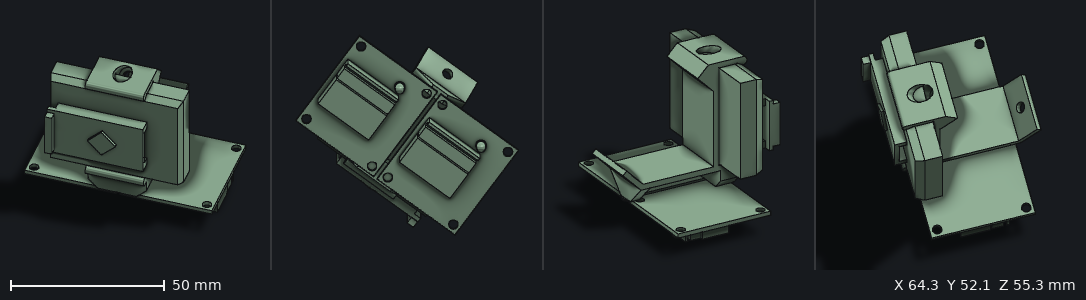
import cadquery as cq
import math


bracket_width = 20.0
sheet = 2.0
bracket_height = 39.0
cos_45 = math.sqrt(0.5)

bulb_radius = 1.5
bulb_center_y = -11.1
lip_start_y = -9.1

wedge_tip_y = 6.0
wedge_top_y = 2.0
wedge_tip_z = bracket_height - (wedge_tip_y - wedge_top_y)
wedge_foot_z = wedge_tip_z - wedge_tip_y

tail_length = 9.6
miter = sheet * math.tan(math.radians(22.5))

screw_diameter = 3.5
head_bore_diameter = 6.0
seat_thickness = 2.0

board_size_x = 31.5
board_size_y = 35.0
board_thickness = 1.5
board_gap = 1.35
board_hole_diameter = 3.0
board_hole_inset = 2.5
board_front_y = -8.6
board_rear_y = board_front_y + board_size_y

connector_size_x = 20.4
connector_size_y = 10.0
connector_height = 7.8
connector_inset_x = 1.5
connector_front_y = 1.65

socket_size_y = 6.0
socket_height = 7.2
socket_front_y = 12.05
slot_width = 1.05
slot_depth = 3.25
slot_inset = 0.95

lamp_diameter = 3.0
lamp_rim_diameter = 3.5
lamp_rim_height = 1.0
lamp_straight_height = 4.0
lamp_inset_x = 10.95
lamp_y = 20.6

foot_height = 7.0
foot_reach = 3.5
front_foot_y = board_front_y + board_hole_inset
rear_foot_y = board_rear_y - board_hole_inset
front_foot_chamfer = 3.25
tail_root_y = rear_foot_y + foot_reach

module_size_x = 45.6
module_size_z = 34.45
module_depth = 9.0
module_taper_depth = 3.0
module_taper_inset = 1.0
module_center_x = -0.45
module_rear_y = -sheet - 0.3
module_center_z = bracket_height / 2

pin_pitch = 2.54
panel_size_x = 33.0
panel_size_z = 17.78
panel_thickness = 1.55
panel_left_x = -22.2
panel_center_z = 18.25
header_length = 15.24
sensor_side = 6.8
sensor_height = 1.0
sensor_center_x = -3.15


def box(x0, x1, y0, y1, z0, z1):
    """Box between two opposite corners."""
    return cq.Workplane("XY").box(x1 - x0, y1 - y0, z1 - z0, centered=False).translate((x0, y0, z0))


def bracket_slab(outline):
    """Closed outline in the YZ plane extruded over the bracket's width."""
    return outline.close().extrude(bracket_width / 2, both=True)


def make_lip():
    """Bottom arm from the wall to its rounded lip, lying on Z = 0."""
    outline = (
        cq.Workplane("YZ")
        .moveTo(-sheet, 0)
        .lineTo(bulb_center_y, 0)
        .threePointArc((bulb_center_y - bulb_radius, bulb_radius), (bulb_center_y, 2 * bulb_radius))
        .lineTo(lip_start_y, sheet)
        .lineTo(-sheet, sheet)
    )
    return bracket_slab(outline)


def make_foot(rear_y, front_y, chamfer):
    """Foot rooted in the shelf, whose two lower edges are cut off at 45 degrees."""
    half = bracket_width / 2
    return (
        cq.Workplane("XZ", origin=(0, rear_y, 0))
        .moveTo(-half, sheet)
        .lineTo(half, sheet)
        .lineTo(half, chamfer - foot_height)
        .lineTo(half - chamfer, -foot_height)
        .lineTo(chamfer - half, -foot_height)
        .lineTo(-half, chamfer - foot_height)
        .close()
        .extrude(rear_y - front_y)
    )


def make_bracket():
    """Clamp bracket with its lips, feet, and screw holes."""
    tail_rise = tail_length * cos_45
    outline = (
        cq.Workplane("YZ")
        .moveTo(-sheet, 0)
        .lineTo(tail_root_y, 0)
        .lineTo(tail_root_y + tail_rise, tail_rise)
        .lineTo(tail_root_y + tail_rise - sheet * cos_45, tail_rise + sheet * cos_45)
        .lineTo(tail_root_y - miter, sheet)
        .lineTo(0, sheet)
        .lineTo(0, wedge_foot_z)
        .lineTo(wedge_tip_y, wedge_tip_z)
        .lineTo(wedge_top_y, bracket_height)
        .lineTo(-sheet, bracket_height)
    )
    bottom_lip = make_lip()
    top_lip = bottom_lip.mirror("XY").translate((0, 0, bracket_height))
    front_foot = make_foot(front_foot_y + foot_reach, front_foot_y - foot_reach, front_foot_chamfer)
    rear_foot = make_foot(rear_foot_y + foot_reach, rear_foot_y, foot_height)
    body = bracket_slab(outline)
    for part in (bottom_lip, top_lip, front_foot, rear_foot):
        body = body.union(part)

    face_y = wedge_tip_y / 2
    face_z = (wedge_tip_z + wedge_foot_z) / 2
    up = cq.Vector(0, -cos_45, cos_45)
    face = cq.Vector(0, face_y, face_z)
    reach = bracket_height + bracket_width
    seat = face + up * seat_thickness
    screw = cq.Solid.makeCylinder(screw_diameter / 2, reach + seat_thickness, face - up * reach, up)
    head_bore = cq.Solid.makeCylinder(head_bore_diameter / 2, reach, seat, up)
    return body.cut(cq.Workplane(screw)).cut(cq.Workplane(head_bore))


def make_module():
    """Module with a tapered front, carrying a small panel."""
    straight_depth = module_depth - module_taper_depth
    taper_angle = math.degrees(math.atan2(module_taper_inset, module_taper_depth))
    front_y = module_rear_y - module_depth
    center = cq.Workplane("XZ", origin=(module_center_x, module_rear_y, module_center_z))
    body = center.rect(module_size_x, module_size_z).extrude(straight_depth)
    nose = (
        center.workplane(offset=straight_depth)
        .rect(module_size_x, module_size_z)
        .extrude(module_taper_depth, taper=taper_angle)
    )
    body = body.union(nose)

    panel_right_x = panel_left_x + panel_size_x
    panel_bottom_z = panel_center_z - panel_size_z / 2
    panel_top_z = panel_center_z + panel_size_z / 2
    panel_rear_y = front_y - pin_pitch
    panel_front_y = panel_rear_y - panel_thickness
    strip_left_x = panel_left_x + pin_pitch
    for strip_z in (panel_bottom_z, panel_top_z - pin_pitch):
        strip_top_z = strip_z + pin_pitch
        strip = box(strip_left_x, panel_right_x, panel_rear_y, front_y, strip_z, strip_top_z)
        body = body.union(strip)
    body = body.union(
        box(panel_left_x, panel_right_x, panel_front_y, panel_rear_y, panel_bottom_z, panel_top_z)
    )
    header = box(
        panel_left_x,
        panel_left_x + pin_pitch,
        panel_front_y - pin_pitch,
        panel_front_y,
        panel_center_z - header_length / 2,
        panel_center_z + header_length / 2,
    )
    sensor = (
        cq.Workplane("XZ", origin=(sensor_center_x, panel_front_y, panel_center_z))
        .transformed(rotate=(0, 0, 45))
        .rect(sensor_side, sensor_side)
        .extrude(sensor_height)
    )
    return body.union(header).union(sensor)


def make_board(left_x):
    """Board with its -X edge at left_x, carrying a connector, a socket and a lamp underneath."""
    right_x = left_x + board_size_x
    top_z = -foot_height
    under_z = top_z - board_thickness
    board = box(left_x, right_x, board_front_y, board_rear_y, under_z, top_z)
    holes = (
        cq.Workplane("XY", origin=((left_x + right_x) / 2, (board_front_y + board_rear_y) / 2, under_z))
        .rect(board_size_x - 2 * board_hole_inset, board_size_y - 2 * board_hole_inset, forConstruction=True)
        .vertices()
        .circle(board_hole_diameter / 2)
        .extrude(board_thickness)
    )
    board = board.cut(holes)

    connector_right_x = right_x - connector_inset_x
    connector_left_x = connector_right_x - connector_size_x
    connector = box(
        connector_left_x,
        connector_right_x,
        connector_front_y,
        connector_front_y + connector_size_y,
        under_z - connector_height,
        under_z,
    )

    socket_rear_y = socket_front_y + socket_size_y
    socket_bottom_z = under_z - socket_height
    socket = box(connector_left_x, connector_right_x, socket_front_y, socket_rear_y, socket_bottom_z, under_z)
    slot_rear_y = socket_rear_y - slot_inset
    slot = box(
        connector_left_x,
        connector_right_x,
        slot_rear_y - slot_width,
        slot_rear_y,
        socket_bottom_z,
        socket_bottom_z + slot_depth,
    )

    r = lamp_diameter / 2
    dome_z = -lamp_straight_height
    lamp = (
        cq.Workplane("XZ")
        .lineTo(lamp_rim_diameter / 2, 0)
        .lineTo(lamp_rim_diameter / 2, -lamp_rim_height)
        .lineTo(r, -lamp_rim_height)
        .lineTo(r, dome_z)
        .threePointArc((r * cos_45, dome_z - r * cos_45), (0, dome_z - r))
        .close()
        .revolve(360, (0, 0, 0), (0, 1, 0))
        .translate((left_x + lamp_inset_x, lamp_y, under_z))
    )
    return board.union(connector).union(socket.cut(slot)).union(lamp)


bracket = make_bracket()
module = make_module()
boards = [make_board(left_x) for left_x in (-board_gap / 2 - board_size_x, board_gap / 2)]

result = cq.Compound.makeCompound([bracket.val(), module.val(), *(board.val() for board in boards)])